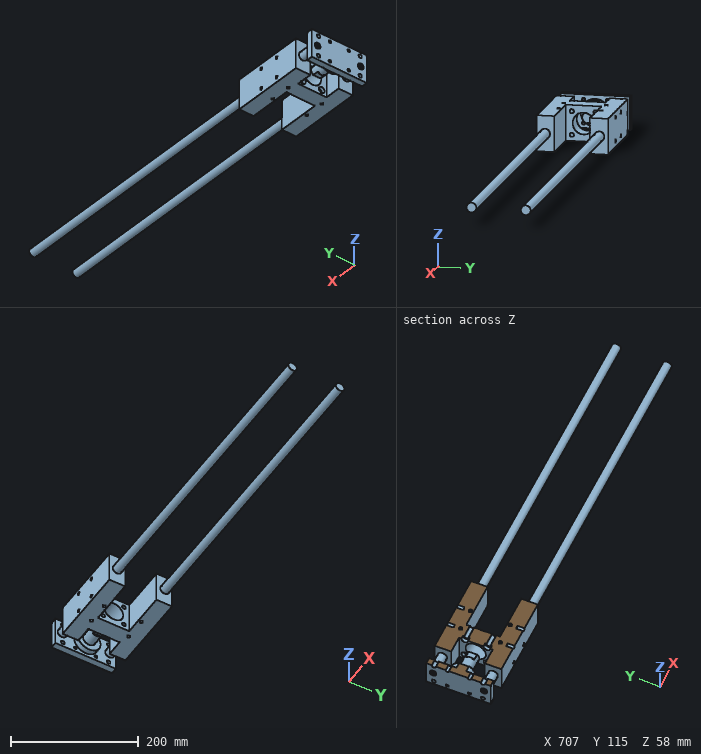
import cadquery as cq

TOTAL_LENGTH = 707.0

PLATE_THICKNESS = 12.0
PLATE_WIDTH = 111.0
PLATE_HEIGHT = 54.0
CORNER_HOLE_DIAMETER = 6.6
CORNER_HOLE_SPACING_Y = 84.0

BLOCK_START = 37.0
BLOCK_LENGTH = 141.0
BLOCK_WIDTH = 115.0
BLOCK_HEIGHT = 58.0
ARM_GAP = 57.0
WEB_START = 67.0
WEB_THICKNESS = 29.0
WEB_BORE_DIAMETER = 35.0
WEB_HOLE_DIAMETER = 6.6
WEB_COUNTERBORE_DIAMETER = 11.0
WEB_COUNTERBORE_DEPTH = 6.5

BOLT_PITCH = 38.0

TAP_DIAMETER = 4.92
TAP_DEPTH = 12.0
TAP_CENTER_X = 104.3
TOP_TAP_SPACING_Y = 68.0

ROD_DIAMETER = 16.0
ROD_SPACING = 87.0
SCREW_RECESS_DIAMETER = 11.0
SCREW_RECESS_DEPTH = 6.5
SCREW_HEAD_DIAMETER = 10.0
SCREW_HEAD_HEIGHT = 6.0
SCREW_HEAD_CHAMFER = 1.0
HEX_SOCKET_ACROSS_FLATS = 4.0
HEX_SOCKET_DEPTH = 3.0

FLANGE_DIAMETER = 42.22
FLANGE_THICKNESS = 10.0
STUD_DIAMETER = 22.35
STUD_END = 56.0
FLAT_LENGTH = 11.0
ACROSS_FLATS = 17.0


def box_along_x(start, length, width, height):
    """Box centred on the X axis that begins at X = start."""
    box = cq.Workplane("XY").box(length, width, height, centered=(False, True, True))
    return box.translate((start, 0, 0))


def cylinder_along_x(start, length, diameter, y=0.0, z=0.0):
    """Cylinder parallel to X that begins at X = start."""
    return cq.Workplane("YZ", origin=(start, y, z)).circle(diameter / 2).extrude(length)


def pair(spacing):
    """Two positions placed evenly about zero."""
    return (-spacing / 2, spacing / 2)


def make_screw_head(y):
    """Chamfered socket head seated on the floor of its recess in the plate."""
    head_start = SCREW_RECESS_DEPTH - SCREW_HEAD_HEIGHT
    head = cylinder_along_x(head_start, SCREW_HEAD_HEIGHT, SCREW_HEAD_DIAMETER, y)
    head = head.faces("<X").edges().chamfer(SCREW_HEAD_CHAMFER)
    socket = cq.Workplane("YZ", origin=(head_start, y, 0))
    socket = socket.polygon(6, HEX_SOCKET_ACROSS_FLATS, circumscribed=True).extrude(HEX_SOCKET_DEPTH)
    return head.cut(socket)


def make_plate():
    """Front plate with corner holes, tapped holes and the recessed rod screws."""
    plate = box_along_x(0, PLATE_THICKNESS, PLATE_WIDTH, PLATE_HEIGHT)
    for z in pair(BOLT_PITCH):
        for y in pair(CORNER_HOLE_SPACING_Y):
            plate = plate.cut(cylinder_along_x(0, PLATE_THICKNESS, CORNER_HOLE_DIAMETER, y, z))
        for y in pair(BOLT_PITCH):
            plate = plate.cut(cylinder_along_x(0, PLATE_THICKNESS, TAP_DIAMETER, y, z))
    for y in pair(ROD_SPACING):
        plate = plate.cut(cylinder_along_x(0, SCREW_RECESS_DEPTH, SCREW_RECESS_DIAMETER, y))
        plate = plate.union(make_screw_head(y))
    return plate


def make_block():
    """H-shaped block: two arms joined by a web with a bore and bolt holes."""
    block = box_along_x(BLOCK_START, BLOCK_LENGTH, BLOCK_WIDTH, BLOCK_HEIGHT)
    web_end = WEB_START + WEB_THICKNESS
    block_end = BLOCK_START + BLOCK_LENGTH
    block = block.cut(box_along_x(BLOCK_START, WEB_START - BLOCK_START, ARM_GAP, BLOCK_HEIGHT))
    block = block.cut(box_along_x(web_end, block_end - web_end, ARM_GAP, BLOCK_HEIGHT))
    block = block.cut(cylinder_along_x(WEB_START, WEB_THICKNESS, WEB_BORE_DIAMETER))
    for y in pair(BOLT_PITCH):
        for z in pair(BOLT_PITCH):
            block = block.cut(cylinder_along_x(WEB_START, WEB_THICKNESS, WEB_HOLE_DIAMETER, y, z))
            counterbore = cylinder_along_x(WEB_START, WEB_COUNTERBORE_DEPTH, WEB_COUNTERBORE_DIAMETER, y, z)
            block = block.cut(counterbore)
    return block


def make_block_taps():
    """Blind holes entering the block from its two sides, top and bottom."""
    taps = cq.Workplane("XY")
    side_start = BLOCK_WIDTH / 2 - TAP_DEPTH
    top_start = BLOCK_HEIGHT / 2 - TAP_DEPTH
    for offset in pair(BOLT_PITCH):
        x = TAP_CENTER_X + offset
        for z in pair(BOLT_PITCH):
            side_plane = cq.Workplane("XZ", origin=(x, -side_start, z))
            side_tap = side_plane.circle(TAP_DIAMETER / 2).extrude(TAP_DEPTH)
            taps = taps.add(side_tap).add(side_tap.mirror("XZ"))
        for y in pair(TOP_TAP_SPACING_Y):
            top_plane = cq.Workplane("XY", origin=(x, y, top_start))
            top_tap = top_plane.circle(TAP_DIAMETER / 2).extrude(TAP_DEPTH)
            taps = taps.add(top_tap).add(top_tap.mirror("XY"))
    return taps.combine()


def make_rod(y):
    """Guide rod from the back of the plate, through the block, to the far end."""
    return cylinder_along_x(PLATE_THICKNESS, TOTAL_LENGTH - PLATE_THICKNESS, ROD_DIAMETER, y)


def make_coupling():
    """Round flange and stud with two wrench flats on the free end."""
    flange = cylinder_along_x(PLATE_THICKNESS, FLANGE_THICKNESS, FLANGE_DIAMETER)
    flat_start = STUD_END - FLAT_LENGTH
    stud = cylinder_along_x(PLATE_THICKNESS, flat_start - PLATE_THICKNESS, STUD_DIAMETER)
    tip = cylinder_along_x(flat_start, FLAT_LENGTH, STUD_DIAMETER)
    tip = tip.intersect(box_along_x(flat_start, FLAT_LENGTH, STUD_DIAMETER, ACROSS_FLATS))
    return flange.union(stud).union(tip)


result = make_block().cut(make_block_taps())
for rod_y in pair(ROD_SPACING):
    result = result.union(make_rod(rod_y))
result = result.union(make_plate()).union(make_coupling())